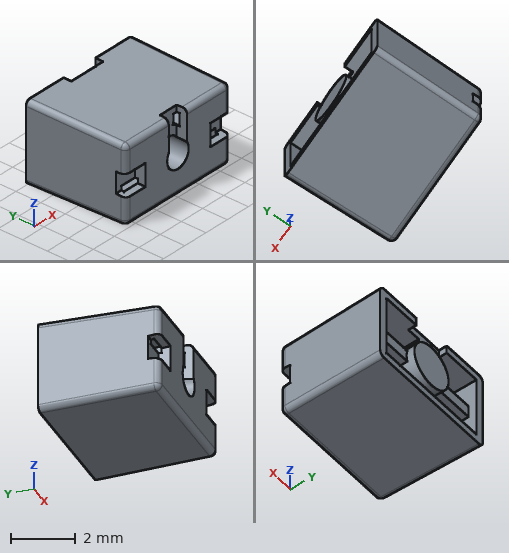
import cadquery as cq
import math

WIDTH = 5.07
DEPTH = 4.0
HEIGHT = 3.07
DRAFT_ANGLE = 1.0
EDGE_RADIUS = 0.2
FRONT_Y = -DEPTH / 2
BACK_Y = DEPTH / 2

WALL = 0.32
FRONT_WALL = 0.285
POST_RADIUS = 0.84
RIB_THICKNESS = 0.475

POCKET_DEPTH = 0.39
POCKET_WIDTH = 0.86
POCKET_DRAFT = 0.04
SIDE_POCKET_INNER_X = 1.535

HOLE_RADIUS = 0.505
HOLE_FLOOR_RADIUS = 0.46
HOLE_DEPTH = 2.535

NOTCH_WIDTH = 1.5
NOTCH_DEPTH = 0.31


def box_between(x0, x1, y0, y1, z0, z1):
    return cq.Workplane("XY").box(x1 - x0, y1 - y0, z1 - z0, centered=False).translate((x0, y0, z0))


def facing_back(y):
    """Plane at the given Y whose normal points to +Y; local axes are -X and +Z."""
    return cq.Workplane(cq.Plane(origin=(0, y, 0), xDir=(-1, 0, 0), normal=(0, 1, 0)))


def outer_body():
    inset = DEPTH * math.tan(math.radians(DRAFT_ANGLE))
    body = (
        facing_back(FRONT_Y)
        .rect(WIDTH - 2 * inset, HEIGHT - 2 * inset)
        .workplane(offset=DEPTH)
        .rect(WIDTH, HEIGHT)
        .loft(ruled=True)
    )
    return body.edges("not >Y").fillet(EDGE_RADIUS)


def cavity():
    """Space inside the walls, leaving the post and the side and top ribs standing."""
    cavity_y = FRONT_Y + FRONT_WALL
    rib_end_y = BACK_Y - NOTCH_DEPTH
    half_x = WIDTH / 2 - WALL
    half_z = HEIGHT / 2 - WALL
    half_rib = RIB_THICKNESS / 2
    space = box_between(-half_x, half_x, cavity_y, BACK_Y, -half_z, half_z)
    post = facing_back(cavity_y).circle(POST_RADIUS).extrude(BACK_Y - cavity_y)
    side_ribs = box_between(-half_x, half_x, cavity_y, rib_end_y, -half_rib, half_rib)
    top_rib = box_between(-half_rib, half_rib, cavity_y, rib_end_y, 0, half_z)
    return space.cut(post).cut(side_ribs).cut(top_rib)


def pocket(inner_end, outer_end):
    """Pocket running along +X; its side walls and inner end lean inwards with depth."""
    centre = -(inner_end + outer_end) / 2
    length = outer_end - inner_end
    return (
        facing_back(FRONT_Y)
        .center(centre, 0)
        .rect(length, POCKET_WIDTH)
        .workplane(offset=POCKET_DEPTH)
        .rect(length - 2 * POCKET_DRAFT, POCKET_WIDTH - 2 * POCKET_DRAFT)
        .loft(ruled=True)
    )


def hole():
    return (
        facing_back(FRONT_Y)
        .circle(HOLE_RADIUS)
        .workplane(offset=HOLE_DEPTH)
        .circle(HOLE_FLOOR_RADIUS)
        .loft(ruled=True)
    )


def back_notch():
    half_width = NOTCH_WIDTH / 2
    return box_between(
        -half_width, half_width, BACK_Y - NOTCH_DEPTH, BACK_Y, HEIGHT / 2 - WALL, HEIGHT / 2
    )


result = outer_body().cut(cavity())

side_pocket = pocket(SIDE_POCKET_INNER_X, WIDTH)
top_pocket = pocket(0, HEIGHT)
y_axis = ((0, 0, 0), (0, 1, 0))
for base_pocket, angle in ((side_pocket, 0), (side_pocket, 180), (top_pocket, -90)):
    result = result.cut(base_pocket.rotate(*y_axis, angle))

result = result.cut(hole()).cut(back_notch())